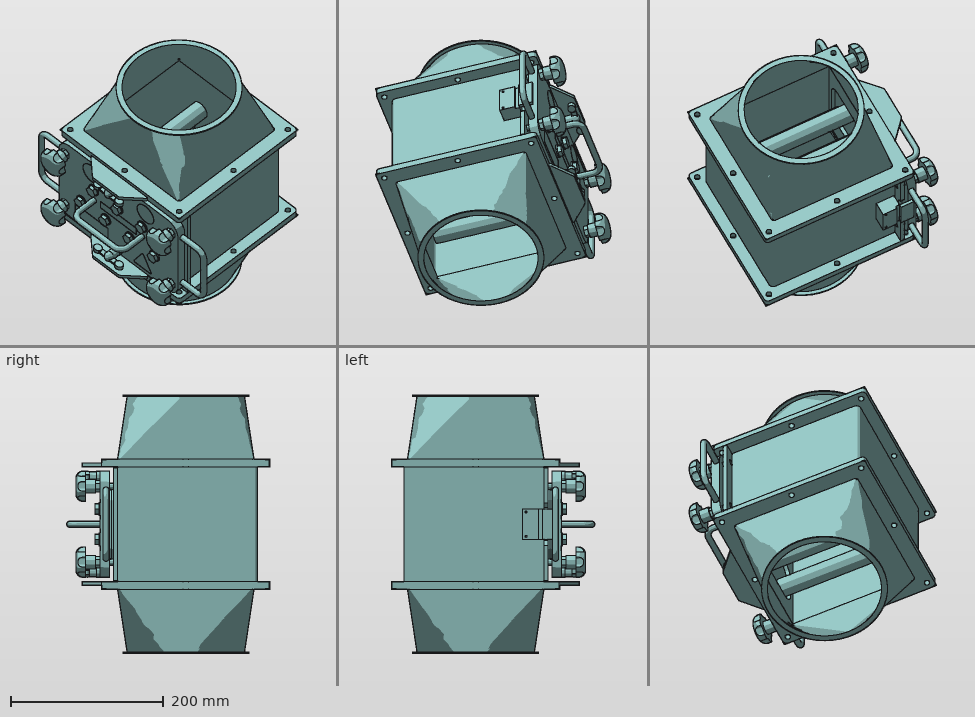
import cadquery as cq
import math


total_height = 338.0
total_width = 308.0
total_depth = 266.0
wall = 2.0
ring_outer_diameter = 165.0
ring_thickness = 1.7
bore_diameter = 149.5
adapter_base = 178.8
adapter_corner_radius = 4.0
apex_half_angle = 1.5
flange_size = 220.0
flange_top = 85.2
flange_thickness = 10.0
flange_plate_thickness = 1.0
flange_lip_thickness = 4.0
flange_corner_radius = 5.5
flange_hole_pitch = 201.5
flange_hole_diameter = 7.0
housing_width = 188.0
housing_corner_radius = 6.5
housing_front = -89.2

flange_bottom = flange_top - flange_thickness
flange_front = -flange_size / 2
housing_back = housing_width / 2
opening = adapter_base - 2 * wall

lug_thickness = 5.0
lug_base_half_width = 52.0
lug_tip_half_width = 24.5
lug_reach = 25.7
lug_shoulder = 1.5
lug_corner_radius = 5.0

frame_thickness = 5.5
seal_thickness = 2.7
backing_thickness = 2.5
door_thickness = 12.5
frame_front = housing_front - frame_thickness
seal_front = frame_front - seal_thickness
door_back = seal_front - backing_thickness
door_front = door_back - door_thickness

frame_height = 148.0
frame_opening_width = 169.0
frame_opening_height = 81.0
frame_notch_half_height = 21.5
frame_notch_depth = 6.0
seal_width = 179.0
seal_height = 91.3
seal_corner_radius = 20.3
backing_inset = 0.7
door_height = 139.3
door_corner_radius = 20.0

tube_diameter = 25.0
tube_end = 84.5
tube_pitch = 45.0
tube_row_height = 20.0
bolt_flange_diameter = 17.0
bolt_flange_thickness = 1.7
bolt_head_flats = 14.0
bolt_head_height = 5.0

rod_diameter = 8.0
handle_half_span = 44.5
handle_bend_radius = 12.0
side_handle_y = -104.5
side_handle_reach = (total_width - rod_diameter) / 2
front_handle_reach = total_depth + flange_front - rod_diameter / 2

wing_bolt_height = 62.5
wing_tilt = 2.0
wing_washer_diameter = 14.0
wing_washer_thickness = 4.5
wing_hub_diameter = 13.0
wing_dome_diameter = 14.0
wing_bolt_length = 23.5
wing_span = 51.5
wing_blade_length = 12.5
wing_blade_width = 10.0
wing_blade_thickness = 5.7
wing_web_width = 6.8
wing_web_thickness = 2.7

label_thickness = 0.5
round_label_diameter = 30.8
round_label_x = 50.0
round_label_z = 48.0
handle_label_width = 66.0
handle_label_height = 12.5
plate_label_width = 60.5
plate_label_height = 26.7
plate_label_x = -49.7
warning_label_side = 34.5
warning_label_corner_radius = 2.0
warning_label_x = 45.0
lower_label_bottom = -63.0

switch_height = 39.5
switch_outer_x = -113.2
switch_back = -61.5
switch_front = -82.0
switch_hole_diameter = 2.47
switch_hole_z = 16.0
switch_hole_inset = 4.5
switch_hole_depth = 3.5
switch_base_x = -110.0
actuator_outer_x = -114.2
actuator_back = -87.5
actuator_front = -106.5

knob_x = 97.7
knob_z = 49.7
stud_diameter = 8.0
knob_nut_flats = 13.2
knob_nut_height = 5.7
knob_collar_diameter = 18.0
knob_collar_length = 13.2
knob_head_diameter = 40.0
knob_head_length = 13.0
knob_face_diameter = 20.5
knob_lobes = 6
knob_waist_radius = 17.0
knob_notch_radius = 11.8


def block(x_range, y_range, z_range):
    """Box between the given coordinate limits."""
    size = [high - low for low, high in (x_range, y_range, z_range)]
    corner = cq.Vector(x_range[0], y_range[0], z_range[0])
    return cq.Workplane(cq.Solid.makeBox(*size, corner))


def front_plane(y):
    """Sketch plane facing -Y, with sketch x along +X and sketch y along +Z."""
    return cq.Workplane("XZ", origin=(0, y, 0))


def both_ends(upper):
    """The given upper feature together with its mirror image at the lower end."""
    return upper.union(upper.mirror("XY"))


def rounded_square_wire(size, radius, z):
    """Square with rounded corners, its edges starting with the one on the +X side."""
    half = size / 2
    straight = half - radius
    middle = straight + radius * math.sqrt(0.5)
    path = cq.Workplane("XY", origin=(0, 0, z)).moveTo(half, -straight)
    path = path.lineTo(half, straight).threePointArc((middle, middle), (straight, half))
    path = path.lineTo(-straight, half).threePointArc((-middle, middle), (-half, straight))
    path = path.lineTo(-half, -straight).threePointArc((-middle, -middle), (-straight, -half))
    path = path.lineTo(straight, -half).threePointArc((middle, -middle), (half, -straight))
    return path.close().val()


def split_circle_wire(diameter, z):
    """Circle split to match the rounded square: short arcs at the sides, long arcs at the corners."""

    def point(angle):
        turn = math.radians(angle)
        return cq.Vector(diameter / 2 * math.cos(turn), diameter / 2 * math.sin(turn), z)

    edges = []
    for side in (0, 90, 180, 270):
        start = side - apex_half_angle
        end = side + apex_half_angle
        next_start = start + 90
        edges.append(cq.Edge.makeThreePointArc(point(start), point(side), point(end)))
        edges.append(cq.Edge.makeThreePointArc(point(end), point(side + 45), point(next_start)))
    return cq.Wire.assembleEdges(edges)


def adapter_loft(base_size, base_radius, top_diameter):
    base = rounded_square_wire(base_size, base_radius, flange_top)
    top = split_circle_wire(top_diameter, total_height / 2)
    return cq.Workplane(cq.Solid.makeLoft([base, top], True))


def build_adapter():
    """Upper square-to-round adapter with its end ring."""
    outer = adapter_loft(adapter_base, adapter_corner_radius, bore_diameter + 2 * wall)
    ring_plane = cq.Workplane("XY", origin=(0, 0, total_height / 2 - ring_thickness))
    ring = ring_plane.circle(ring_outer_diameter / 2).extrude(ring_thickness)
    inner = adapter_loft(opening, adapter_corner_radius - wall, bore_diameter)
    return outer.union(ring).cut(inner)


def housing_interior():
    """Space inside the housing walls and both flange frames, up to the lips at the adapters."""
    inner = housing_width / 2 - wall
    height = flange_top - flange_lip_thickness
    interior = block((-inner, inner), (housing_front, housing_back - wall), (-height, height))
    return interior.edges("|Z and >Y").fillet(housing_corner_radius - wall)


def build_flange():
    """Upper flange: a thin sharp-cornered plate over a frame with rounded corners and an inner lip."""
    frame = cq.Workplane("XY", origin=(0, 0, flange_bottom)).rect(flange_size, flange_size)
    frame = frame.extrude(flange_thickness).edges("|Z").fillet(flange_corner_radius)
    plate = cq.Workplane("XY", origin=(0, 0, flange_top - flange_plate_thickness))
    plate = plate.rect(flange_size, flange_size).extrude(flange_plate_thickness)
    steps = (-1, 0, 1)
    spots = [(i * flange_hole_pitch / 2, j * flange_hole_pitch / 2) for i in steps for j in steps if i or j]
    cutter = cq.Workplane("XY", origin=(0, 0, flange_bottom))
    holes = cutter.pushPoints(spots).circle(flange_hole_diameter / 2).extrude(flange_thickness)
    passage = cutter.rect(opening, opening).extrude(flange_thickness)
    return frame.cut(housing_interior()).union(plate).cut(holes).cut(passage)


def build_lug():
    """Guard lug below the upper flange plate, with chamfered sides."""
    tip = flange_front - lug_reach
    shoulder = flange_front - lug_shoulder
    root = flange_front + flange_corner_radius
    points = [
        (-lug_base_half_width, root),
        (-lug_base_half_width, shoulder),
        (-lug_tip_half_width, tip),
        (lug_tip_half_width, tip),
        (lug_base_half_width, shoulder),
        (lug_base_half_width, root),
    ]
    lug = cq.Workplane("XY", origin=(0, 0, flange_bottom)).polyline(points).close().extrude(lug_thickness)
    return lug.edges("|Z").edges("not >Y").fillet(lug_corner_radius)


def build_shell():
    """Housing walls, open at the top, the bottom and the front."""
    half = housing_width / 2
    shell = block((-half, half), (housing_front, housing_back), (-flange_bottom, flange_bottom))
    return shell.edges("|Z and >Y").fillet(housing_corner_radius).cut(housing_interior())


def build_frame():
    """Front frame with the drawer opening and a side notch that clears the actuator."""
    frame = front_plane(housing_front).rect(flange_size, frame_height).extrude(frame_thickness)
    window = front_plane(housing_front).rect(frame_opening_width, frame_opening_height)
    window = window.extrude(frame_thickness).edges("|Y").fillet(seal_corner_radius)
    side = -flange_size / 2
    low = frame_notch_half_height
    high = frame_notch_half_height + frame_notch_depth
    floor = side + frame_notch_depth
    corners = [(side, -high), (floor, -low), (floor, low), (side, high)]
    notch = front_plane(housing_front).polyline(corners).close().extrude(frame_thickness)
    return frame.cut(window).cut(notch)


def build_door():
    """Door plate with the backing plate and the seal behind it."""
    door = front_plane(door_back).rect(flange_size, door_height).extrude(door_thickness)
    door = door.edges("|Y").fillet(door_corner_radius)
    seal = front_plane(frame_front).rect(seal_width, seal_height).extrude(seal_thickness)
    backing = front_plane(seal_front).rect(seal_width - 2 * backing_inset, seal_height - 2 * backing_inset)
    backing = backing.extrude(backing_thickness).edges("|Y").fillet(seal_corner_radius - backing_inset)
    return door.union(backing).union(seal.edges("|Y").fillet(seal_corner_radius))


def tube_spots():
    """Tube axes: three in the upper row and four in the lower row."""
    upper = [(i * tube_pitch, tube_row_height) for i in (-1, 0, 1)]
    lower = [(i * tube_pitch, -tube_row_height) for i in (-1.5, -0.5, 0.5, 1.5)]
    return upper + lower


def build_tubes():
    plane = front_plane(tube_end).pushPoints(tube_spots())
    return plane.circle(tube_diameter / 2).extrude(tube_end - frame_front)


def build_tube_bolts():
    """Hexagon bolts with flanged heads, one in front of each tube."""
    corner_diameter = bolt_head_flats / math.cos(math.pi / 6)
    flanges = front_plane(door_front).pushPoints(tube_spots())
    flanges = flanges.circle(bolt_flange_diameter / 2).extrude(bolt_flange_thickness)
    heads = front_plane(door_front - bolt_flange_thickness).pushPoints(tube_spots())
    return flanges.union(heads.polygon(6, corner_diameter).extrude(bolt_head_height))


def build_handle(reach, foot):
    """U-shaped rod in the XY plane, with feet at y = -foot and grip axis at y = -reach."""
    span = handle_half_span
    bend = handle_bend_radius
    bend_middle = bend * (1 - math.sqrt(0.5))
    path = cq.Workplane("XY").moveTo(-span, -foot).lineTo(-span, bend - reach)
    path = path.threePointArc((bend_middle - span, bend_middle - reach), (bend - span, -reach))
    path = path.lineTo(span - bend, -reach)
    path = path.threePointArc((span - bend_middle, bend_middle - reach), (span, bend - reach))
    path = path.lineTo(span, -foot)
    profile = cq.Workplane("XZ", origin=(-span, -foot, 0)).circle(rod_diameter / 2)
    return profile.sweep(path)


def build_handles():
    """One handle on the door front and one on each door side."""
    foot_depth = rod_diameter / 2
    handles = build_handle(front_handle_reach, -door_front - foot_depth)
    side_handle = build_handle(side_handle_reach, flange_size / 2 - foot_depth)
    side_handle = side_handle.rotate((0, 0, 0), (0, 1, 0), 90)
    for turn in (90, -90):
        turned = side_handle.rotate((0, 0, 0), (0, 0, 1), turn)
        handles = handles.union(turned.translate((0, side_handle_y, 0)))
    return handles


def build_wing_bolt(z):
    """Domed wing bolt with its washer, on the vertical middle plane of the door."""
    dome_radius = wing_dome_diameter / 2
    hub_length = wing_bolt_length - dome_radius
    washer = front_plane(door_front).circle(wing_washer_diameter / 2).extrude(wing_washer_thickness)
    hub = front_plane(door_front).circle(wing_hub_diameter / 2).extrude(hub_length)
    dome = cq.Workplane("XY").sphere(dome_radius).translate((0, door_front - hub_length, 0))
    blade_y = door_front - wing_bolt_length + wing_blade_width / 2
    blade_x = (wing_span - wing_blade_length) / 2
    blades = cq.Workplane("XY", origin=(0, blade_y, -wing_blade_thickness / 2))
    blades = blades.pushPoints([(-blade_x, 0), (blade_x, 0)])
    blades = blades.ellipse(wing_blade_length / 2, wing_blade_width / 2).extrude(wing_blade_thickness)
    web = cq.Workplane("XY", origin=(0, blade_y, 0)).box(2 * blade_x, wing_web_width, wing_web_thickness)
    bolt = washer.union(hub).union(dome).union(web).union(blades)
    return bolt.rotate((0, 0, 0), (0, 1, 0), wing_tilt).translate((0, 0, z))


def build_labels():
    """Thin plates on the door: two round, one behind the handle, one name plate, one triangle."""
    plane = front_plane(door_front)
    round_spots = [(-round_label_x, round_label_z), (round_label_x, round_label_z)]
    labels = plane.pushPoints(round_spots).circle(round_label_diameter / 2).extrude(label_thickness)
    labels = labels.union(plane.rect(handle_label_width, handle_label_height).extrude(label_thickness))
    plate_center = (plate_label_x, lower_label_bottom + plate_label_height / 2)
    plate = plane.center(*plate_center).rect(plate_label_width, plate_label_height)
    labels = labels.union(plate.extrude(label_thickness))
    half_side = warning_label_side / 2
    peak = lower_label_bottom + warning_label_side * math.sin(math.pi / 3)
    corners = [
        (warning_label_x - half_side, lower_label_bottom),
        (warning_label_x + half_side, lower_label_bottom),
        (warning_label_x, peak),
    ]
    triangle = plane.polyline(corners).close().extrude(label_thickness)
    return labels.union(triangle.edges("|Y").fillet(warning_label_corner_radius))


def build_switch():
    """Switch block with two screw holes on a longer base, and actuator plate on the door side."""
    height = (-switch_height / 2, switch_height / 2)
    switch = block((switch_outer_x, -housing_width / 2), (switch_front, switch_back), height)
    base = block((switch_base_x, -housing_width / 2), (actuator_back, switch_back), height)
    hole_y = switch_back - switch_hole_inset
    for z in (-switch_hole_z, switch_hole_z):
        hole_plane = cq.Workplane("YZ", origin=(switch_outer_x, hole_y, z))
        switch = switch.cut(hole_plane.circle(switch_hole_diameter / 2).extrude(switch_hole_depth))
    actuator = block((actuator_outer_x, -flange_size / 2), (actuator_front, actuator_back), height)
    return switch.union(base).union(actuator)


def knob_spots():
    return [(x, z) for x in (-knob_x, knob_x) for z in (-knob_z, knob_z)]


def build_stud_holes():
    """Holes for the knob studs through the door and the frame."""
    plane = front_plane(housing_front).pushPoints(knob_spots())
    return plane.circle(stud_diameter / 2).extrude(housing_front - door_front)


def build_separator():
    separator = build_shell().union(build_frame()).union(build_door())
    separator = separator.union(both_ends(build_flange())).union(both_ends(build_adapter()))
    separator = separator.union(both_ends(build_lug()))
    separator = separator.union(build_tubes()).union(build_tube_bolts())
    separator = separator.union(build_labels()).union(build_handles()).union(build_switch())
    for z in (-wing_bolt_height, wing_bolt_height):
        separator = separator.union(build_wing_bolt(z))
    return separator.cut(build_stud_holes())


def build_knob(x, z):
    """Star knob with collar, hexagon nut and a stud that reaches through the door and frame."""
    nut_corner_diameter = knob_nut_flats / math.cos(math.pi / 6)
    collar_back = door_front - knob_nut_height
    head_back = collar_back - knob_collar_length
    rounding = (knob_head_diameter - knob_face_diameter) / 2
    notch_center = knob_waist_radius + knob_notch_radius
    stud = front_plane(housing_front).circle(stud_diameter / 2).extrude(housing_front - door_front)
    nut = front_plane(door_front).transformed(rotate=(0, 0, 30))
    nut = nut.polygon(6, nut_corner_diameter).extrude(knob_nut_height)
    collar = front_plane(collar_back).circle(knob_collar_diameter / 2).extrude(knob_collar_length)
    head = front_plane(head_back).circle(knob_head_diameter / 2).extrude(knob_head_length)
    head = head.faces("<Y").edges().fillet(rounding)
    notches = front_plane(head_back).polarArray(notch_center, 0, 360, knob_lobes)
    head = head.cut(notches.circle(knob_notch_radius).extrude(knob_head_length))
    return stud.union(nut).union(collar).union(head).translate((x, 0, z))


separator = build_separator()
knobs = [build_knob(x, z) for x, z in knob_spots()]

result = cq.Compound.makeCompound([separator.val(), *[knob.val() for knob in knobs]])